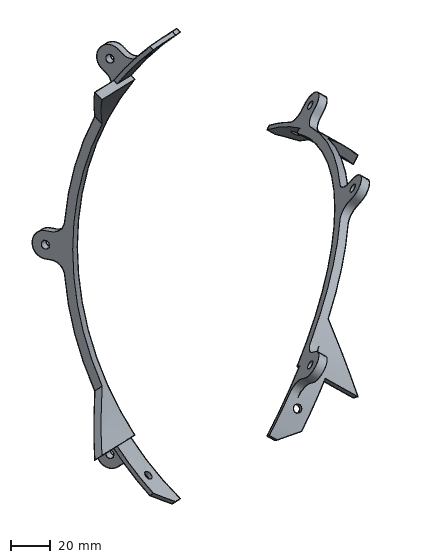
import cadquery as cq
import math

overall_height = 253.7

outer_radius = 160.0
band_width = 5.3
blade_width = 2.5
band_depth = 5.0
inner_radius = outer_radius - band_width
blade_inner_radius = outer_radius - blade_width

fin_angle = 38.1
fin_length = 29.7
fin_depth = 35.0
blade_depth = 14.7
tip_angle = math.asin(overall_height / 2 / outer_radius)
blade_length = outer_radius * math.sin(tip_angle - math.radians(fin_angle))
blade_chamfer = blade_depth - band_depth
blade_hole_along = 20.8
blade_hole_depth = 7.4

lug_pitch_radius = 170.5
lug_radius = 7.5
lug_fillet = 7.5
lug_angle = 38.5
hole_diameter = 4.5


def ring(inside_radius, depth):
    """Full ring from Y = 0 to Y = -depth."""
    return cq.Workplane("XZ").circle(outer_radius).circle(inside_radius).extrude(depth)


def sector(half_angle):
    """Wedge about -X that limits the band to +/- half_angle."""
    reach = 2 * outer_radius
    half_height = reach * math.tan(math.radians(half_angle))
    return (
        cq.Workplane("XZ")
        .polyline([(0, 0), (-reach, half_height), (-reach, -half_height)])
        .close()
        .extrude(fin_depth)
    )


def tangent_plane():
    """Plane through the origin: local X follows the tangent, local Y is +Y, normal points outward."""
    angle = math.radians(fin_angle)
    return cq.Plane(
        origin=(0, 0, 0),
        xDir=(math.sin(angle), 0, math.cos(angle)),
        normal=(-math.cos(angle), 0, math.sin(angle)),
    )


def outward_prism(sketch):
    return sketch.extrude(2 * outer_radius)


def upper_end():
    """Sloping fin of full band width, followed by a thin blade with a cross hole."""
    fin_profile = (
        cq.Workplane(tangent_plane())
        .polyline([(-fin_length, 0), (-fin_length, -band_depth), (0, -fin_depth), (0, 0)])
        .close()
    )
    fin = ring(inner_radius, fin_depth).intersect(outward_prism(fin_profile))

    blade_profile = (
        cq.Workplane(tangent_plane())
        .moveTo(-blade_width, 0)
        .lineTo(-blade_width, -blade_depth)
        .lineTo(blade_length - blade_chamfer, -blade_depth)
        .lineTo(blade_length, -band_depth)
        .lineTo(blade_length, 0)
        .close()
    )
    blade = ring(blade_inner_radius, blade_depth).intersect(outward_prism(blade_profile))

    hole_sketch = (
        cq.Workplane(tangent_plane())
        .center(blade_hole_along, -blade_hole_depth)
        .circle(hole_diameter / 2)
    )
    return fin.union(blade.cut(outward_prism(hole_sketch)))


def lug():
    """Round-ended lug on -X, flaring into the outside of the band through concave arcs."""
    flare_z = lug_radius + lug_fillet
    flare_center_radius = outer_radius + lug_fillet
    flare_x = -math.sqrt(flare_center_radius**2 - flare_z**2)
    touch_ratio = outer_radius / flare_center_radius
    touch_x = flare_x * touch_ratio
    touch_z = flare_z * touch_ratio

    flare_angle = (math.atan2(-flare_z, -flare_x) - math.pi / 2) / 2
    mid_x = flare_x + lug_fillet * math.cos(flare_angle)
    mid_z = flare_z + lug_fillet * math.sin(flare_angle)

    root_x = -(outer_radius - blade_width / 2)
    return (
        cq.Workplane("XZ")
        .moveTo(touch_x, touch_z)
        .threePointArc((mid_x, mid_z), (flare_x, lug_radius))
        .lineTo(-lug_pitch_radius, lug_radius)
        .threePointArc((-lug_pitch_radius - lug_radius, 0), (-lug_pitch_radius, -lug_radius))
        .lineTo(flare_x, -lug_radius)
        .threePointArc((mid_x, -mid_z), (touch_x, -touch_z))
        .lineTo(root_x, -touch_z)
        .lineTo(root_x, touch_z)
        .close()
        .moveTo(-lug_pitch_radius, 0)
        .circle(hole_diameter / 2)
        .extrude(band_depth)
    )


body = ring(inner_radius, band_depth).intersect(sector(fin_angle))

end = upper_end()
body = body.union(end).union(end.mirror("XY"))

for angle in (-lug_angle, 0, lug_angle):
    body = body.union(lug().rotate((0, 0, 0), (0, 1, 0), angle))

result = body